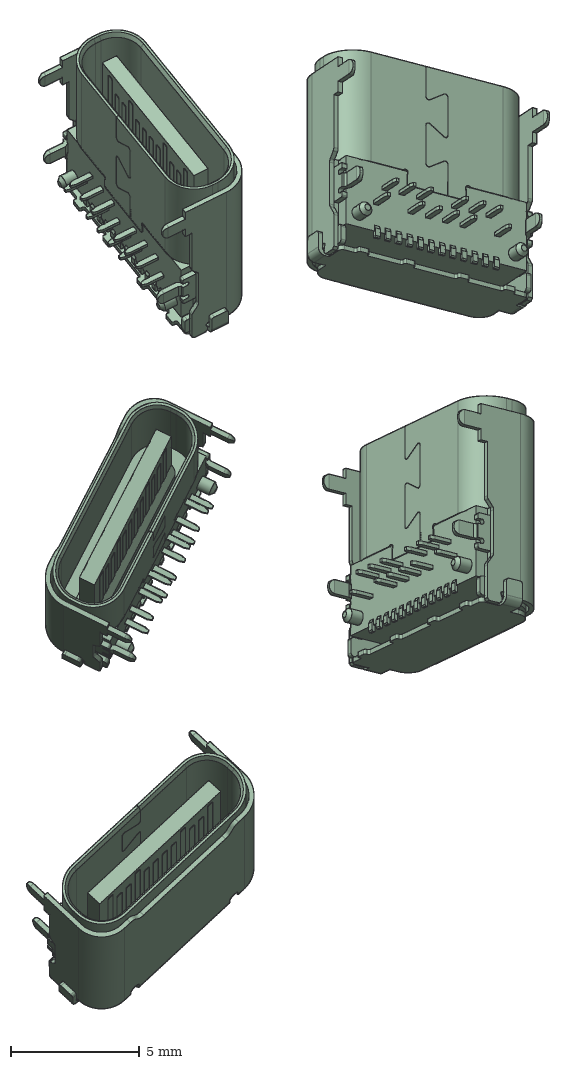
import cadquery as cq
import math


SHEET = 0.20
WALL = 0.22

SHELL_HALF_X = 4.385
SHELL_HALF_Y = 1.48
SHELL_R = 1.35
SHELL_TOP = 8.70
SHELL_BOTTOM = 0.25
RIM_CHAMFER = 0.11
RIM_HEIGHT = 0.20

BLOCK_HALF_X = SHELL_HALF_X - WALL
BLOCK_FRONT = -1.44
BLOCK_BOTTOM = 1.07
BLOCK_TOP = 4.00
CAVITY_FLOOR = 2.50

COVER_HALF_X = SHELL_HALF_X + SHEET
COVER_BACK = SHELL_HALF_Y + SHEET
COVER_R = 1.28
COVER_TOP = 8.11
COVER_BOTTOM = 0.36
COVER_FRONT = -1.51
LEG_TIP = -2.52
TAB_HALF_X = 4.825


def box(x0, x1, y0, y1, z0, z1):
    """Axis-aligned block between two corners."""
    return cq.Workplane("XY").box(x1 - x0, y1 - y0, z1 - z0, centered=False).translate((x0, y0, z0))


def rounded_prism(half_x, half_y, radius, z0, z1):
    """Upright prism with a rounded rectangular outline."""
    prism = box(-half_x, half_x, -half_y, half_y, z0, z1)
    return prism.edges("|Z").fillet(radius)


def both_sides(solid):
    """A feature of the +X side together with its mirror image on the -X side."""
    return solid.union(solid.mirror("YZ"))


def solder_leg(x0, x1, y_root, z0, z1):
    """Flat leg toward -Y whose end is rounded in width and tapered in thickness."""
    tip_length = 0.21
    tip_round = 0.25
    tip_taper = 0.05
    leg = box(x0, x1, LEG_TIP, y_root, z0, z1).edges("|X and <Y").fillet(tip_round)
    plan = (
        cq.Workplane("XY")
        .workplane(offset=z0)
        .polyline([
            (x0, y_root),
            (x0, LEG_TIP + tip_length),
            (x0 + tip_taper, LEG_TIP),
            (x1 - tip_taper, LEG_TIP),
            (x1, LEG_TIP + tip_length),
            (x1, y_root),
        ])
        .close()
        .extrude(z1 - z0)
    )
    return leg.intersect(plan)


FRONT_TAB_HALF_X = 1.37
FRONT_TAB_BOTTOM = 3.39
FRONT_TAB_R = 0.10


def bore_prism(z0, z1):
    """Length of the space inside the shell."""
    return rounded_prism(SHELL_HALF_X - WALL, SHELL_HALF_Y - WALL, SHELL_R - WALL, z0, z1)


def shell_tube():
    """Racetrack tube, chamfered inside the mouth, with its front cut away below the insulator top."""
    tube = rounded_prism(SHELL_HALF_X, SHELL_HALF_Y, SHELL_R, SHELL_BOTTOM, SHELL_TOP)
    tube = tube.cut(bore_prism(SHELL_BOTTOM, SHELL_TOP)).cut(mouth_chamfer())

    side_front = SHELL_R - SHELL_HALF_Y
    opening = box(-SHELL_HALF_X, SHELL_HALF_X, -SHELL_HALF_Y, side_front, SHELL_BOTTOM, BLOCK_TOP)
    return tube.cut(opening).union(front_tab()).cut(tab_reliefs())


def mouth_chamfer():
    """Tapered cutter that thins the shell wall towards its rim."""
    half_x = SHELL_HALF_X - WALL + RIM_CHAMFER
    half_y = SHELL_HALF_Y - WALL + RIM_CHAMFER
    rim = (
        cq.Sketch()
        .rect(2 * half_x, 2 * half_y)
        .vertices()
        .fillet(SHELL_R - WALL + RIM_CHAMFER)
    )
    return (
        cq.Workplane("XY", origin=(0, 0, SHELL_TOP))
        .placeSketch(rim)
        .extrude(-RIM_HEIGHT, taper=math.degrees(math.atan2(RIM_CHAMFER, RIM_HEIGHT)))
    )


def front_tab():
    """Tongue of the shell front that reaches down into the insulator face."""
    tab = box(
        -FRONT_TAB_HALF_X, FRONT_TAB_HALF_X,
        -SHELL_HALF_Y, -SHELL_HALF_Y + WALL,
        FRONT_TAB_BOTTOM, BLOCK_TOP,
    )
    return tab.edges("|Y and <Z").fillet(FRONT_TAB_R)


def tab_reliefs():
    """Small round reliefs where the front tab meets the lower shell edge."""
    relief_r = 0.12
    relief_x = FRONT_TAB_HALF_X + 0.08
    relief_z = BLOCK_TOP - 0.07
    return (
        cq.Workplane("XZ", origin=(0, -SHELL_HALF_Y + WALL, 0))
        .pushPoints([(-relief_x, relief_z), (relief_x, relief_z)])
        .circle(relief_r)
        .extrude(WALL)
    )


def back_edge_notches():
    """Cutter that raises the middle of the rear lower edge, with a round-topped notch at each end."""
    middle_bottom = 0.42
    notch_x = 2.48
    notch_r = 0.22
    notch_center_z = 0.50
    y0 = SHELL_HALF_Y - WALL
    middle = box(-notch_x, notch_x, y0, SHELL_HALF_Y, SHELL_BOTTOM, middle_bottom)
    notch = box(notch_x - notch_r, notch_x + notch_r, y0, SHELL_HALF_Y, SHELL_BOTTOM, notch_center_z)
    notch = notch.union(
        cq.Workplane("XZ", origin=(notch_x, SHELL_HALF_Y, notch_center_z)).circle(notch_r).extrude(WALL)
    )
    flare = 0.25
    outer_x = notch_x + notch_r
    flare_cut = box(outer_x, outer_x + flare, y0, SHELL_HALF_Y, SHELL_BOTTOM, SHELL_BOTTOM + flare).cut(
        cq.Workplane("XZ", origin=(outer_x + flare, SHELL_HALF_Y, SHELL_BOTTOM + flare))
        .circle(flare)
        .extrude(WALL)
    )
    return middle.union(both_sides(notch.union(flare_cut)))


def shell_seam():
    """Hairline dovetail seam where the two ends of the shell strip meet at the front."""
    gap = 0.01
    overrun = 1.0
    seam_x = 0.505
    bend_r = 0.12
    rise = 0.62
    upper_z, middle_z, lower_z = 7.20, 6.39, 4.32
    points = [
        (-seam_x, SHELL_TOP + overrun),
        (-seam_x, upper_z),
        (seam_x, upper_z + rise),
        (seam_x, middle_z - rise),
        (-seam_x, middle_z),
        (-seam_x, lower_z),
        (seam_x, lower_z + rise),
        (seam_x, FRONT_TAB_BOTTOM - overrun),
    ]
    path = cq.Wire.makePolygon([cq.Vector(x, 0, z) for x, z in points])
    path = path.fillet(bend_r, path.Vertices()[1:-1])
    band = path.offset2D(gap / 2)[0]
    slit = cq.Solid.extrudeLinear(band, [], cq.Vector(0, -WALL, 0))
    return cq.Workplane(obj=slit).translate((0, -SHELL_HALF_Y + WALL, 0))


def side_wing():
    """Straight side wall of the shell beside the insulator, with the inner solder leg (+X side)."""
    front = -1.50
    back = SHELL_R - SHELL_HALF_Y
    z0, z1 = 2.16, 3.64
    corner_r = 0.07
    leg_z0, leg_z1 = 2.60, 3.19
    relief_width = 0.21
    relief_depth = 0.28
    relief_r = 0.095
    lower_front = -1.41
    lower_top = 1.04
    lower_r = 0.12
    recess_front = -0.89

    x0, x1 = BLOCK_HALF_X, SHELL_HALF_X
    web = box(x0, x1, recess_front, back, SHELL_BOTTOM, BLOCK_TOP)
    wing = box(x0, x1, front, back, z0, z1).edges("|X and <Y").fillet(corner_r)
    lower = box(x0, x1, lower_front, back, SHELL_BOTTOM, lower_top).edges("|X and <Y").fillet(lower_r)
    wing = wing.union(web).union(lower)

    for relief_z in (leg_z0 - relief_width, leg_z1):
        relief = box(x0, x1, front, front + relief_depth, relief_z, relief_z + relief_width)
        wing = wing.cut(relief.edges("|X and >Y").fillet(relief_r))
    return wing.union(inner_leg(x0, x1, leg_z0, leg_z1))


def inner_leg(x0, x1, z0, z1):
    """Solder leg that jogs inward before it reaches the board."""
    jog = 0.14
    jog_start, jog_end = -1.32, -1.61
    bend = (
        cq.Workplane("XY")
        .workplane(offset=z0)
        .polyline([
            (x0, jog_start),
            (x1, jog_start),
            (x1 - jog, jog_end),
            (x0 - jog, jog_end),
        ])
        .close()
        .extrude(z1 - z0)
    )
    return bend.union(solder_leg(x0 - jog, x1 - jog, jog_end, z0, z1))


TONGUE_HALF_X = 3.34
TONGUE_HALF_Y = 0.33
TONGUE_TOP = 8.31


def insulator():
    """Block behind the board face plus the filling of the shell below the cavity floor."""
    filling = bore_prism(BLOCK_BOTTOM, CAVITY_FLOOR)
    block = box(-BLOCK_HALF_X, BLOCK_HALF_X, BLOCK_FRONT, 0, BLOCK_BOTTOM, BLOCK_TOP)
    cavity = bore_prism(CAVITY_FLOOR, SHELL_TOP)
    return block.cut(cavity).union(filling)


def tongue():
    """Mating tongue on a thicker foot with bevelled shoulders and rounded ends."""
    foot_half_y = 0.61
    foot_r = 0.30
    shoulder_z = 3.20
    bevel = foot_half_y - TONGUE_HALF_Y
    straight = box(-TONGUE_HALF_X, TONGUE_HALF_X, -TONGUE_HALF_Y, TONGUE_HALF_Y, CAVITY_FLOOR, TONGUE_TOP)
    foot = (
        cq.Workplane("YZ", origin=(-TONGUE_HALF_X, 0, 0))
        .polyline([
            (-foot_half_y, CAVITY_FLOOR),
            (foot_half_y, CAVITY_FLOOR),
            (foot_half_y, shoulder_z),
            (TONGUE_HALF_Y, shoulder_z + bevel),
            (-TONGUE_HALF_Y, shoulder_z + bevel),
            (-foot_half_y, shoulder_z),
        ])
        .close()
        .extrude(2 * TONGUE_HALF_X)
    )
    outline = rounded_prism(TONGUE_HALF_X, foot_half_y, foot_r, CAVITY_FLOOR, TONGUE_TOP)
    return straight.union(foot.intersect(outline))


def locating_posts():
    """Two round board posts with conical ends."""
    post_x, post_z = 3.61, 1.64
    post_r = 0.285
    post_tip = -2.14
    tip_chamfer = 0.155
    post = (
        cq.Workplane("XZ", origin=(post_x, BLOCK_FRONT, post_z))
        .circle(post_r)
        .extrude(BLOCK_FRONT - post_tip)
        .faces("<Y")
        .chamfer(tip_chamfer)
    )
    return both_sides(post)


CONTACT_PITCH = 0.50
CONTACT_COUNT = 12


def contact_xs():
    """X positions of one row of contacts, centred on the part."""
    return [(i - (CONTACT_COUNT - 1) / 2) * CONTACT_PITCH for i in range(CONTACT_COUNT)]


def surface_tails():
    """Row of soldered tails along the lower edge of the insulator."""
    half_width = 0.115
    back = -1.38
    front = -1.51
    bottom, shoulder, top = 0.80, 1.18, 1.32
    toe_depth, toe_height = 0.04, 0.06
    tail = (
        cq.Workplane("YZ", origin=(-half_width, 0, 0))
        .polyline([
            (back, bottom),
            (front + toe_depth, bottom),
            (front, bottom + toe_height),
            (front, shoulder),
            (BLOCK_FRONT, top),
            (back, top),
        ])
        .close()
        .extrude(2 * half_width)
    )
    return [tail.translate((x, 0, 0)) for x in contact_xs()]


def board_pins():
    """Two staggered rows of through-board pins with tapered ends."""
    half_width = 0.115
    half_height = 0.075
    tip_half_width = 0.06
    pin_tip = -2.41
    taper_length = 0.19
    upper_z, lower_z = 3.00, 2.29
    spots = [(x, upper_z) for x in (0.81, 1.61, 2.40)] + [(x, lower_z) for x in (0.40, 1.20, 2.80)]
    pin = (
        cq.Workplane("XY", origin=(0, 0, -half_height))
        .polyline([
            (-half_width, BLOCK_FRONT),
            (-half_width, pin_tip + taper_length),
            (-tip_half_width, pin_tip),
            (tip_half_width, pin_tip),
            (half_width, pin_tip + taper_length),
            (half_width, BLOCK_FRONT),
        ])
        .close()
        .extrude(2 * half_height)
    )
    return [pin.translate((side * x, 0, z)) for x, z in spots for side in (-1, 1)]


def tongue_pads():
    """Contact pads standing slightly proud of both tongue faces; supply pads reach higher."""
    half_width = 0.14
    proud = 0.02
    end_r = 0.08
    supply_top, signal_top = 8.05, 7.40
    supply_xs = (1.25, 2.75)
    pads = []
    for x in contact_xs():
        top = supply_top if abs(x) in supply_xs else signal_top
        depth = TONGUE_HALF_Y + proud
        pad = box(x - half_width, x + half_width, -depth, depth, CAVITY_FLOOR, top)
        pads.append(pad.edges("|Y and >Z").fillet(end_r))
    return pads


def make_core():
    core = shell_tube().cut(back_edge_notches()).cut(shell_seam())
    features = [both_sides(side_wing()), insulator(), tongue(), locating_posts()]
    for feature in features + surface_tails() + board_pins() + tongue_pads():
        core = core.union(feature)
    return core


FLAP_HINGE_HALF_X = 2.50
TAB_BACK, TAB_FRONT = 0.335, -0.44


def cover_wrap():
    """U-shaped sheet around the back and sides, trimmed to its side outline."""
    def u_prism(half_x, back, radius):
        prism = box(-half_x, half_x, COVER_FRONT, back, 0, COVER_TOP)
        return prism.edges("|Z and >Y").fillet(radius)

    wrap = u_prism(COVER_HALF_X, COVER_BACK, COVER_R)
    wrap = wrap.cut(u_prism(SHELL_HALF_X, SHELL_HALF_Y, COVER_R - SHEET))
    return wrap.intersect(side_outline())


def side_outline():
    """Side silhouette of the cover, extruded across its full width."""
    arm_bottom = 6.60
    edge_y = -1.20
    recess_y = -0.89
    recess_upper_z, recess_top = 4.26, 3.90
    recess_bottom, recess_lower_z = 1.96, 1.52
    recess_r = 0.20
    foot_back = -0.48
    foot_chamfer = 0.10
    relief_r = 0.11
    relief_y, relief_z = -0.43, 0.40
    outline = (
        cq.Workplane("YZ", origin=(-COVER_HALF_X, 0, 0))
        .polyline([
            (COVER_BACK, COVER_BOTTOM),
            (COVER_BACK, COVER_TOP),
            (COVER_FRONT, COVER_TOP),
            (COVER_FRONT, arm_bottom),
            (edge_y, arm_bottom),
            (edge_y, recess_upper_z),
            (recess_y, recess_top),
            (recess_y, recess_bottom),
            (edge_y, recess_lower_z),
            (edge_y, foot_chamfer),
            (edge_y + foot_chamfer, 0),
            (foot_back - foot_chamfer, 0),
            (foot_back, foot_chamfer),
            (foot_back, COVER_BOTTOM),
        ])
        .close()
        .extrude(2 * COVER_HALF_X)
    )
    recess_bends = cq.selectors.BoxSelector(
        (-COVER_HALF_X, edge_y - recess_r, recess_lower_z - recess_r),
        (COVER_HALF_X, recess_y + recess_r, recess_upper_z + recess_r),
    )
    outline = outline.edges("|X").edges(recess_bends).fillet(recess_r)
    relief = (
        cq.Workplane("YZ", origin=(-COVER_HALF_X, relief_y, relief_z))
        .circle(relief_r)
        .extrude(2 * COVER_HALF_X)
    )
    return outline.cut(relief)


def back_top_dip():
    """Shallow dip in the upper back edge with S-shaped ends."""
    inner_x, outer_x = 2.26, 2.98
    depth = 0.50
    bottom = COVER_TOP - depth
    end_x = [-outer_x, -inner_x, inner_x, outer_x]
    level = (1, 0)
    return (
        cq.Workplane("XZ", origin=(0, COVER_BACK, 0))
        .moveTo(end_x[0], COVER_TOP)
        .spline([(end_x[1], bottom)], tangents=[level, level], includeCurrent=True)
        .lineTo(end_x[2], bottom)
        .spline([(end_x[3], COVER_TOP)], tangents=[level, level], includeCurrent=True)
        .close()
        .extrude(SHEET)
    )


def back_edge_reliefs():
    """Reliefs in the lower back edge beside the flap hinge."""
    width = 0.45
    top = 0.75
    top_r = 0.20
    relief = box(
        FLAP_HINGE_HALF_X, FLAP_HINGE_HALF_X + width, SHELL_HALF_Y, COVER_BACK, COVER_BOTTOM, top
    )
    return both_sides(relief.edges("|Y and >Z").fillet(top_r))


def flap_hinge():
    """Quarter bend that turns the back wall into the bottom flap."""
    bend_y = COVER_BACK - COVER_BOTTOM
    inner_r = COVER_BOTTOM - SHEET
    ring = (
        cq.Workplane("YZ", origin=(-FLAP_HINGE_HALF_X, bend_y, COVER_BOTTOM))
        .circle(COVER_BOTTOM)
        .circle(inner_r)
        .extrude(2 * FLAP_HINGE_HALF_X)
    )
    quadrant = box(-FLAP_HINGE_HALF_X, FLAP_HINGE_HALF_X, bend_y, COVER_BACK, 0, COVER_BOTTOM)
    return ring.intersect(quadrant)


def flap():
    """Bottom plate folded under the core, with trim stubs along its front edge."""
    rear_half_x, rear_y, rear_r = 4.00, 1.40, 0.67
    front_half_x, front_y, front_r = 4.32, -1.30, 0.17
    middle_y = (TAB_BACK + TAB_FRONT) / 2
    rear = box(-rear_half_x, rear_half_x, middle_y, rear_y, 0, SHEET).edges("|Z and >Y").fillet(rear_r)
    front = box(-front_half_x, front_half_x, front_y, middle_y, 0, SHEET)
    plate = rear.union(front.edges("|Z and <Y").fillet(front_r))

    stub_half_x = 0.25
    stub_r = 0.08
    for stub_x in (-3.375, -1.25, 1.25, 3.375):
        stub = box(stub_x - stub_half_x, stub_x + stub_half_x, COVER_FRONT, front_y, 0, SHEET)
        plate = plate.union(stub.edges("|Z and <Y").fillet(stub_r))
    stub_roots = cq.selectors.BoxSelector(
        (-front_half_x + 2 * front_r, front_y - stub_r / 2, 0),
        (front_half_x - 2 * front_r, front_y + stub_r / 2, SHEET),
    )
    return plate.edges("|Z").edges(stub_roots).fillet(stub_r)


def lock_tab():
    """Tab of the flap bent up outside the cover side (+X side)."""
    tab_top = 1.02
    bend_r = 0.30
    corner_r = 0.12
    run = box(0, TAB_HALF_X, TAB_FRONT, TAB_BACK, 0, tab_top).edges("|Y and >X and <Z").fillet(bend_r)
    inside = box(0, TAB_HALF_X - SHEET, TAB_FRONT, TAB_BACK, SHEET, tab_top)
    inside = inside.edges("|Y and >X and <Z").fillet(bend_r - SHEET)
    return run.cut(inside).edges("|X and >Z").fillet(corner_r)


def cover_leg():
    """Solder leg on the upper arm of the cover side (+X side)."""
    z0, z1 = 7.06, 7.69
    return solder_leg(SHELL_HALF_X, COVER_HALF_X, COVER_FRONT, z0, z1)


def make_cover():
    cover = cover_wrap().cut(back_edge_reliefs()).cut(back_top_dip())
    for feature in (flap_hinge(), flap(), both_sides(lock_tab()), both_sides(cover_leg())):
        cover = cover.union(feature)
    return cover


core = make_core()
cover = make_cover()
result = cq.Compound.makeCompound([core.solids().val(), cover.solids().val()])